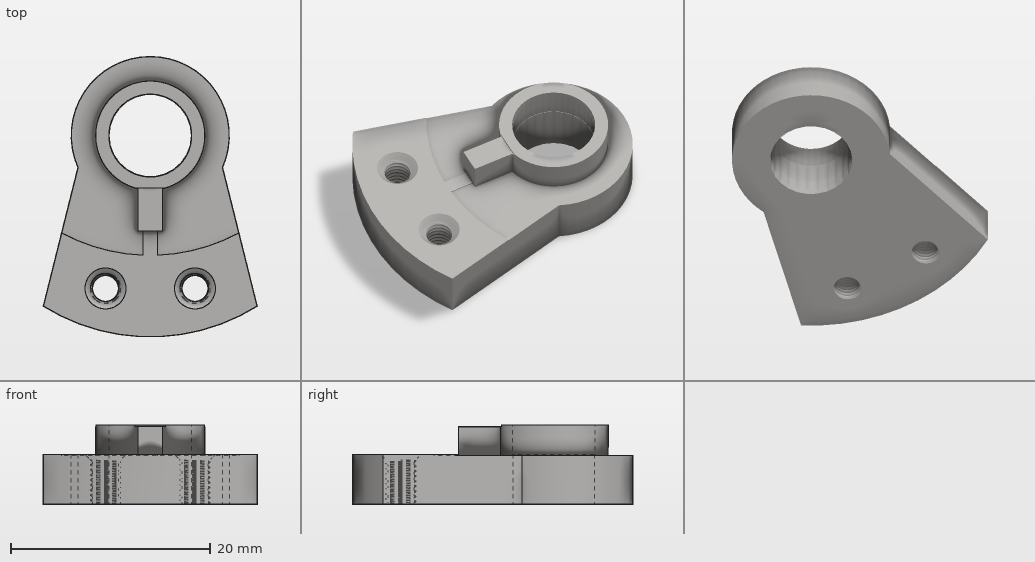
import cadquery as cq
import math


head_radius = 7.95
fan_radius = 28.15 - head_radius
fan_half_width = 21.5 / 2
neck_half_width = 7.27
base_height = 5.0

recess_depth = 0.08
recess_edge_radius = 18.73
recess_edge_y = -12.02
deck_height = base_height - recess_depth
tab_width = 1.45

overall_height = 8.0
boss_diameter = 10.95
upper_bore_diameter = 8.34
lower_bore_diameter = 8.28
upper_bore_sides = 40
upper_bore_turn = -3.0
lower_bore_sides = 26
key_width = 2.48
key_start_y = -5.27
key_end_y = -9.57
key_top = 7.8

hole_spacing = 8.98
hole_y = -15.35
hole_diameter = 2.6
thread_diameter = 3.05
thread_pitch = 0.5
thread_turns = 10.5
thread_start_angle = 240
groove_mouth = 0.45
thread_overlap = 0.08
countersink_diameter = 4.1
countersink_depth = 0.75

clearance = 0.28


def make_base():
    corner_y = -math.sqrt(fan_radius**2 - fan_half_width**2)
    neck_y = -math.sqrt(head_radius**2 - neck_half_width**2)
    return (
        cq.Workplane("XY")
        .moveTo(-neck_half_width, neck_y)
        .threePointArc((0, head_radius), (neck_half_width, neck_y))
        .lineTo(fan_half_width, corner_y)
        .threePointArc((0, -fan_radius), (-fan_half_width, corner_y))
        .close()
        .extrude(base_height)
    )


def make_recess():
    """Layer removed from the top of the plate, with the raised tab left standing."""
    layer = (
        cq.Workplane("XY", origin=(0, recess_edge_y + recess_edge_radius, deck_height))
        .circle(recess_edge_radius)
        .extrude(recess_depth + clearance)
    )
    tab_length = abs(recess_edge_y - key_start_y)
    tab = (
        cq.Workplane("XY", origin=(0, key_start_y, deck_height))
        .rect(tab_width, 2 * tab_length)
        .extrude(recess_depth + clearance)
    )
    return layer.cut(tab)


def make_boss():
    """Boss with a flat above the key, where the key meets its wall."""
    boss = (
        cq.Workplane("XY", origin=(0, 0, deck_height))
        .circle(boss_diameter / 2)
        .extrude(overall_height - deck_height)
    )
    flat = cq.Workplane("XY").box(
        boss_diameter, boss_diameter, overall_height, centered=(True, False, False)
    ).translate((0, key_start_y - boss_diameter, key_top))
    return boss.cut(flat)


def make_key():
    return (
        cq.Workplane("XY", origin=(0, 0, deck_height))
        .center(0, key_end_y / 2)
        .rect(key_width, abs(key_end_y))
        .extrude(key_top - deck_height)
    )


def make_bore():
    """Faceted bore: coarse facets through the plate, finer ones through the boss."""
    lower = cq.Workplane("XY").polygon(lower_bore_sides, lower_bore_diameter).extrude(base_height)
    upper = (
        cq.Workplane("XY", origin=(0, 0, base_height))
        .polygon(upper_bore_sides, upper_bore_diameter)
        .extrude(overall_height - base_height)
        .rotate((0, 0, 0), (0, 0, 1), upper_bore_turn)
    )
    return lower.union(upper)


def make_pilot_hole():
    return cq.Workplane("XY").circle(hole_diameter / 2).extrude(base_height)


def make_countersink():
    """Cone that narrows from the top face down to the hole."""
    return cq.Workplane("XY").add(
        cq.Solid.makeCone(
            hole_diameter / 2,
            countersink_diameter / 2,
            countersink_depth,
            pnt=cq.Vector(0, 0, base_height - countersink_depth),
        )
    )


def make_thread_groove():
    """Helical V groove that runs out through the underside and into the countersink."""
    inner_radius = hole_diameter / 2 - thread_overlap
    start_z = -thread_pitch
    helix = cq.Wire.makeHelix(
        thread_pitch, thread_turns * thread_pitch, hole_diameter / 2, center=cq.Vector(0, 0, start_z)
    )
    return (
        cq.Workplane("XZ")
        .moveTo(inner_radius, start_z - groove_mouth / 2)
        .lineTo(thread_diameter / 2, start_z)
        .lineTo(inner_radius, start_z + groove_mouth / 2)
        .close()
        .sweep(cq.Workplane("XY").newObject([helix]), isFrenet=True)
        .rotate((0, 0, 0), (0, 0, 1), thread_start_angle)
    )


result = make_base().cut(make_recess()).union(make_boss()).union(make_key()).cut(make_bore())

screw_hole_cutters = (make_pilot_hole(), make_thread_groove(), make_countersink())
for side in (-1, 1):
    for cutter in screw_hole_cutters:
        result = result.cut(cutter.translate((side * hole_spacing / 2, hole_y, 0)))